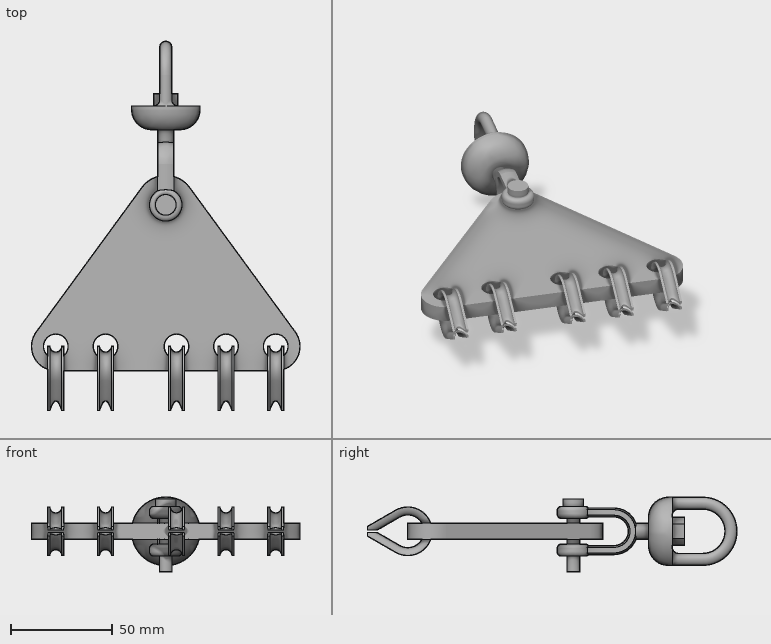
import cadquery as cq
import math


plate_thickness = 8.0
apex_radius = 14.6
corner_radius = 12.0
plate_width = 132.8
corner_x = plate_width / 2 - corner_radius
corner_y = -70.0
thimble_hole_radius = 6.0

thimble_xs = [-corner_x, -29.8, 5.3, 29.8, corner_x]
thimble_y = -81.8
bow_radius = 12.0
channel_radius = 4.0
channel_wall = 1.1
leg_slope = 30
tip_y = -101.7
tip_gap = 1.1
scoop_depth = 4.7

pin_radius = 3.2
pin_bottom = -20.1
head_radius = 5.1
head_top = 16.0
lug_radius = 8.0
lug_thickness = 6.0
lug_round = 2.2

strap_width = 8.0
strap_centre_radius = 9.3
strap_side_thickness = 2.7
strap_thickness = 4.5
bend_y = 20.1

neck_radius = 4.0
base_radius = 17.0
base_front_y = 37.0
base_back_y = 49.0
base_round = 10.0
nut_across_flats = 12.0
nut_height = 6.0
eye_end_y = 81.0
eye_bend_radius = 13.9
eye_wire_radius = 3.01
eye_flare = 3.0

eye_bend_y = eye_end_y - eye_bend_radius - eye_wire_radius


def make_plate():
    """Rounded triangle with a pin hole at the apex and a row of thimble holes."""
    side_length = math.hypot(corner_x, corner_y)
    side_angle = math.atan2(corner_y, corner_x)
    taper_angle = math.asin((apex_radius - corner_radius) / side_length)
    normal_angle = side_angle + math.pi / 2 - taper_angle
    normal_x = math.cos(normal_angle)
    normal_y = math.sin(normal_angle)
    apex_tangent = (apex_radius * normal_x, apex_radius * normal_y)
    corner_tangent = (corner_x + corner_radius * normal_x, corner_y + corner_radius * normal_y)
    corner_side = (corner_x + corner_radius, corner_y)
    corner_bottom = (corner_x, corner_y - corner_radius)

    def mirrored(point):
        return (-point[0], point[1])

    plate = (
        cq.Workplane("XY")
        .workplane(offset=-plate_thickness / 2)
        .moveTo(*mirrored(apex_tangent))
        .threePointArc((0, apex_radius), apex_tangent)
        .lineTo(*corner_tangent)
        .threePointArc(corner_side, corner_bottom)
        .lineTo(*mirrored(corner_bottom))
        .threePointArc(mirrored(corner_side), mirrored(corner_tangent))
        .close()
        .extrude(plate_thickness)
    )
    plate = plate.cut(cylinder_z(pin_radius, -plate_thickness, plate_thickness))
    thimble_hole = cylinder_z(thimble_hole_radius, -plate_thickness, plate_thickness)
    for x in thimble_xs:
        plate = plate.cut(thimble_hole.translate((x, corner_y, 0)))
    return plate


def cylinder_z(radius, bottom, top):
    return cq.Workplane("XY").workplane(offset=bottom).circle(radius).extrude(top - bottom)


def cylinder_y(radius, start, end):
    return cq.Workplane("XZ", origin=(0, start, 0)).circle(radius).extrude(start - end)


def channel_section():
    """Half-tube section in the XY plane, open outward at the bow radius."""
    groove_radius = channel_radius - channel_wall
    return (
        cq.Workplane("XY")
        .moveTo(-channel_radius, bow_radius)
        .threePointArc((0, bow_radius - channel_radius), (channel_radius, bow_radius))
        .lineTo(groove_radius, bow_radius)
        .threePointArc((0, bow_radius - groove_radius), (-groove_radius, bow_radius))
        .close()
    )


def make_thimble():
    """Teardrop of half-tube channel centred on its bow; the legs nearly meet at the tip."""
    bow_angle = 90 + leg_slope
    tip = tip_y - thimble_y
    leg_reach = -2 * tip
    bow = channel_section().revolve(bow_angle, (0, 0, 0), (1, 0, 0))
    leg = channel_section().extrude(leg_reach).rotate((0, 0, 0), (1, 0, 0), bow_angle)
    trim = cq.Workplane("XY").box(leg_reach, -tip, leg_reach, centered=(True, False, False))
    leg = leg.intersect(trim.translate((0, tip, tip_gap / 2)))
    half = bow.union(leg)
    thimble = half.union(half.mirror("XY"))

    groove_radius = channel_radius - channel_wall
    scoop = (
        cq.Workplane("XY")
        .center(0, tip)
        .parametricCurve(
            lambda t: (groove_radius * t, scoop_depth * (1 - t * t), 0), start=-1, stop=1, makeWire=False
        )
        .close()
        .extrude(bow_radius, both=True)
    )
    return thimble.cut(scoop)


def make_base():
    """Swivel base with a rounded front, and the straight eye legs blended into its flat back."""
    base = cylinder_y(base_radius, base_front_y, base_back_y).faces("<Y").edges().fillet(base_round)
    leg_zs = (-eye_bend_radius, eye_bend_radius)
    for z in leg_zs:
        base = base.union(cylinder_y(eye_wire_radius, base_back_y, eye_bend_y).translate((0, 0, z)))
    for z in leg_zs:
        leg_root = cq.selectors.NearestToPointSelector((0, base_back_y, z))
        base = base.edges(leg_root).fillet(eye_flare)
    return base


def make_nut():
    """Hexagonal nut on the back of the base, with two corners along Z."""
    across_corners = nut_across_flats / math.cos(math.pi / 6)
    nut = cq.Workplane("XZ", origin=(0, base_back_y, 0)).polygon(6, across_corners).extrude(-nut_height)
    return nut.rotate((0, 0, 0), (0, 1, 0), 30)


def make_eye_bend():
    """Half ring of round wire joining the two eye legs."""
    wire = cq.Workplane("XZ", origin=(0, eye_bend_y, 0)).center(0, eye_bend_radius).circle(eye_wire_radius)
    return wire.revolve(180, (0, -eye_bend_radius, 0), (-1, -eye_bend_radius, 0))


def strap_section():
    """Strap section at the start of the bend, bulged on its inner and outer faces."""
    half_width = strap_width / 2
    outer_side = strap_centre_radius + strap_side_thickness / 2
    inner_side = strap_centre_radius - strap_side_thickness / 2
    return (
        cq.Workplane("XZ", origin=(0, bend_y, 0))
        .moveTo(-half_width, inner_side)
        .lineTo(-half_width, outer_side)
        .threePointArc((0, strap_centre_radius + strap_thickness / 2), (half_width, outer_side))
        .lineTo(half_width, inner_side)
        .threePointArc((0, strap_centre_radius - strap_thickness / 2), (-half_width, inner_side))
        .close()
    )


def make_clevis():
    """U-shaped strap with a rounded lug at the end of each leg, and its pin."""
    bend = strap_section().revolve(180, (0, 0, 0), (-1, 0, 0))
    leg = strap_section().extrude(bend_y)
    lug_bottom = strap_centre_radius - lug_thickness / 2
    lug = cylinder_z(lug_radius, lug_bottom, lug_bottom + lug_thickness).edges("%CIRCLE").fillet(lug_round)
    arm = leg.union(lug)
    shank = cylinder_z(pin_radius, pin_bottom, head_top)
    head = cylinder_z(head_radius, strap_centre_radius, head_top)
    return bend.union(arm).union(arm.mirror("XY")).union(shank).union(head)


def make_swivel():
    """Eye, nut, base, neck and clevis as one solid."""
    neck = cylinder_y(neck_radius, bend_y + strap_centre_radius, base_back_y)
    return make_clevis().union(neck).union(make_base()).union(make_nut()).union(make_eye_bend())


plate = make_plate()
swivel = make_swivel()
thimble = make_thimble()
thimbles = [thimble.translate((x, thimble_y, 0)).val() for x in thimble_xs]

result = cq.Compound.makeCompound([plate.val(), swivel.val(), *thimbles])